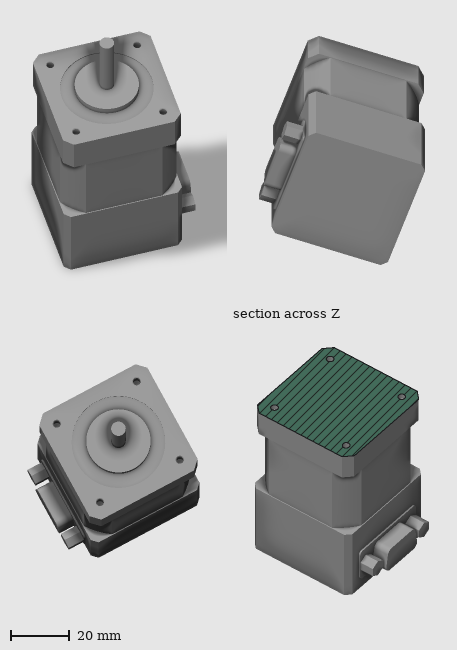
import cadquery as cq
import math

housing_width = 42.2
housing_chamfer = 2.0
housing_top = 28.0

stator_width = 41.6
stator_turned_diameter = 49.8

flange_width = 42.0
flange_chamfer = 3.0
flange_bottom = 54.0
flange_top = 66.0

recess_diameter = 32.0
recess_depth = 0.3
pilot_diameter = 22.0
pilot_top = flange_top + 2.0
shaft_diameter = 5.0
shaft_top = 90.0

hole_pitch = 31.0
hole_diameter = 2.5
hole_mouth_diameter = 3.0
hole_depth = 4.5
drill_point_angle = 118.0

connector_z = 10.7
connector_end_y = 27.6
bezel_width = 31.0
bezel_height = 12.7
bezel_thickness = 0.6
bezel_corner_radius = 1.4
shell_height = 9.4
shell_base_width = 18.0
shell_corner_radius = 2.1
shell_flank_angle = 10.0
standoff_spacing = 25.0
standoff_across_flats = 5.6
short_standoff_setback = 0.6

housing_face_y = housing_width / 2
bezel_face_y = housing_face_y + bezel_thickness


def chamfered_block(width, chamfer, bottom, top):
    """Square block on the Z axis with chamfered vertical edges."""
    block = cq.Workplane("XY").workplane(offset=bottom).rect(width, width).extrude(top - bottom)
    return block.edges("|Z").chamfer(chamfer)


def cylinder(diameter, bottom, top):
    """Cylinder on the Z axis."""
    return cq.Workplane("XY").workplane(offset=bottom).circle(diameter / 2).extrude(top - bottom)


def stator():
    """Square stator whose corners are rounded about the motor axis."""
    height = flange_bottom - housing_top
    base = cq.Workplane("XY").workplane(offset=housing_top)
    square = base.rect(stator_width, stator_width).extrude(height)
    return square.intersect(cylinder(stator_turned_diameter, housing_top, flange_bottom))


def mounting_hole():
    """Blind hole with a countersunk mouth and a drill point, its mouth at Z = 0."""
    radius = hole_diameter / 2
    mouth_radius = hole_mouth_diameter / 2
    mouth_depth = mouth_radius - radius
    point_depth = radius / math.tan(math.radians(drill_point_angle / 2))
    profile = [
        (0, 0),
        (mouth_radius, 0),
        (radius, -mouth_depth),
        (radius, -hole_depth),
        (0, -hole_depth - point_depth),
    ]
    return cq.Workplane("XZ").polyline(profile).close().revolve(360, (0, 0, 0), (0, 1, 0))


def front_flange():
    """Flange with the ring recess and four mounting holes."""
    flange = chamfered_block(flange_width, flange_chamfer, flange_bottom, flange_top)
    flange = flange.cut(cylinder(recess_diameter, flange_top - recess_depth, flange_top))
    for x_side in (-1, 1):
        for y_side in (-1, 1):
            centre = (x_side * hole_pitch / 2, y_side * hole_pitch / 2, flange_top)
            flange = flange.cut(mounting_hole().translate(centre))
    return flange


def connector_plane(y):
    """Work plane facing -Y, centred on the connector, with X right and Z up."""
    return cq.Workplane("XZ", origin=(0, y, connector_z))


def bezel():
    """Connector mounting plate with rounded corners."""
    plate = connector_plane(housing_face_y).rect(bezel_width, bezel_height).extrude(-bezel_thickness)
    return plate.edges("|Y").fillet(bezel_corner_radius)


def shell():
    """D-shaped connector shell, wide side down."""
    half_base = shell_base_width / 2
    half_top = half_base - shell_height * math.tan(math.radians(shell_flank_angle))
    half_height = shell_height / 2
    outline = [
        (-half_base, -half_height),
        (half_base, -half_height),
        (half_top, half_height),
        (-half_top, half_height),
    ]
    block = connector_plane(bezel_face_y).polyline(outline).close().extrude(bezel_face_y - connector_end_y)
    return block.edges("|Y").fillet(shell_corner_radius)


def standoff(x, end_y):
    """Hexagonal jack screw with points up and down."""
    sides = 6
    corner_radius = standoff_across_flats / 2 / math.cos(math.pi / sides)
    corners = []
    for i in range(sides):
        angle = math.radians(90) + i * 2 * math.pi / sides
        corners.append((x + corner_radius * math.cos(angle), corner_radius * math.sin(angle)))
    return connector_plane(bezel_face_y).polyline(corners).close().extrude(bezel_face_y - end_y)


result = chamfered_block(housing_width, housing_chamfer, 0, housing_top)
result = result.union(stator())
result = result.union(front_flange())
result = result.union(cylinder(pilot_diameter, flange_top - recess_depth, pilot_top))
result = result.union(cylinder(shaft_diameter, pilot_top, shaft_top))
result = result.union(bezel())
result = result.union(shell())
result = result.union(standoff(-standoff_spacing / 2, connector_end_y))
result = result.union(standoff(standoff_spacing / 2, connector_end_y - short_standoff_setback))